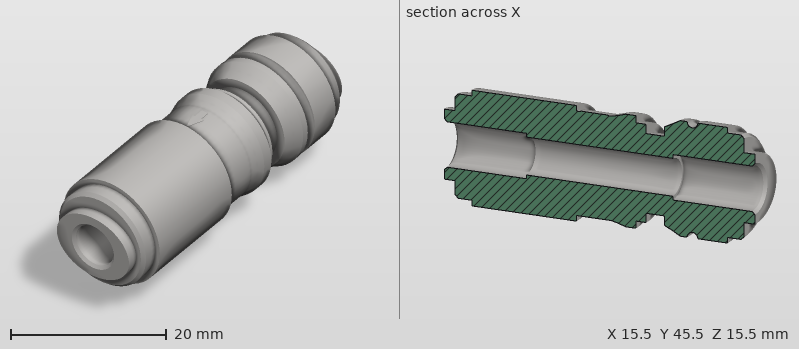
import cadquery as cq

LENGTH = 45.45

BODY_DIA = 15.5
CAP_DIA = 14.0
CAP_FACE_DIA = 13.1
SHOULDER_DIA = 13.17
NECK_DIA = 10.7
FLANGE_DIA = 15.1

COLLET_LENGTH = 1.55
COLLET_WIDTH = 11.6
COLLET_HEIGHT = 9.4

CAP_LENGTH = 2.45
CAP_CHAMFER_LENGTH = 0.5
SLEEVE_LENGTH = 4.4
GROOVE_RADIUS = (BODY_DIA - CAP_DIA) / 2
RIM_LENGTH = 1.0
RIM_CONE_LENGTH = 2.4
NECK_LENGTH = 2.6
SHOULDER_LENGTH = 1.5
FLANGE_LENGTH = 1.5
FLANGE_CONE_LENGTH = 2.1
ARROW_BAND_LENGTH = 5.1

THROUGH_DIA = 5.0
TUBE_DIA = 6.0
TUBE_DEPTH = 12.0
MOUTH_DIA = 6.8
MOUTH_CHAMFER = (MOUTH_DIA - TUBE_DIA) / 2

ARROW_SHAFT_WIDTH = 1.0
ARROW_HEAD_WIDTH = 1.8
ARROW_SHAFT_LENGTH = 1.5
ARROW_HEAD_LENGTH = 2.5
ARROW_RELIEF = 0.08
ARROW_ROOT = 0.2

CAP_START = COLLET_LENGTH
SLEEVE_START = CAP_START + CAP_LENGTH
GROOVE_START = SLEEVE_START + SLEEVE_LENGTH
RIM_START = GROOVE_START + 2 * GROOVE_RADIUS
RIM_CONE_START = RIM_START + RIM_LENGTH
NECK_START = RIM_CONE_START + RIM_CONE_LENGTH
SHOULDER_START = NECK_START + NECK_LENGTH
FLANGE_START = SHOULDER_START + SHOULDER_LENGTH
FLANGE_CONE_START = FLANGE_START + FLANGE_LENGTH
BAND_START = FLANGE_CONE_START + FLANGE_CONE_LENGTH
BARREL_START = BAND_START + ARROW_BAND_LENGTH
BODY_END = LENGTH - COLLET_LENGTH
BARREL_END = BODY_END - CAP_LENGTH


def y_at(station):
    """Y coordinate of a distance from the +Y end."""
    return LENGTH / 2 - station


def at(diameter, station):
    """Profile point on the given diameter."""
    return (diameter / 2, y_at(station))


def make_body():
    """Turned outside between the two collets."""
    groove_bottom = at(BODY_DIA - 2 * GROOVE_RADIUS, GROOVE_START + GROOVE_RADIUS)
    return (
        cq.Workplane("XY")
        .moveTo(*at(0, CAP_START))
        .lineTo(*at(CAP_FACE_DIA, CAP_START))
        .lineTo(*at(CAP_DIA, CAP_START + CAP_CHAMFER_LENGTH))
        .lineTo(*at(CAP_DIA, SLEEVE_START))
        .lineTo(*at(BODY_DIA, SLEEVE_START))
        .lineTo(*at(BODY_DIA, GROOVE_START))
        .threePointArc(groove_bottom, at(BODY_DIA, RIM_START))
        .lineTo(*at(BODY_DIA, RIM_CONE_START))
        .lineTo(*at(SHOULDER_DIA, NECK_START))
        .lineTo(*at(NECK_DIA, NECK_START))
        .lineTo(*at(NECK_DIA, SHOULDER_START))
        .lineTo(*at(SHOULDER_DIA, SHOULDER_START))
        .lineTo(*at(SHOULDER_DIA, FLANGE_START))
        .lineTo(*at(FLANGE_DIA, FLANGE_START))
        .lineTo(*at(FLANGE_DIA, FLANGE_CONE_START))
        .lineTo(*at(CAP_DIA, BAND_START))
        .lineTo(*at(CAP_DIA, BARREL_START))
        .lineTo(*at(BODY_DIA, BARREL_START))
        .lineTo(*at(BODY_DIA, BARREL_END))
        .lineTo(*at(CAP_DIA, BARREL_END))
        .lineTo(*at(CAP_DIA, BODY_END - CAP_CHAMFER_LENGTH))
        .lineTo(*at(CAP_FACE_DIA, BODY_END))
        .lineTo(*at(0, BODY_END))
        .close()
        .revolve(360, (0, 0, 0), (0, 1, 0))
    )


def make_collets():
    """Oval collet ends that stand out of both faces of the body."""
    collets = cq.Workplane("XY")
    for collet_start in (0, BODY_END):
        collet = (
            cq.Workplane("XZ", origin=(0, y_at(collet_start), 0))
            .ellipse(COLLET_WIDTH / 2, COLLET_HEIGHT / 2)
            .extrude(COLLET_LENGTH)
        )
        collets = collets.add(collet)
    return collets.combine()


def make_bore():
    """Through bore with a tube socket and a chamfered mouth at each end."""
    tube_end = LENGTH - TUBE_DEPTH
    return (
        cq.Workplane("XY")
        .moveTo(*at(0, 0))
        .lineTo(*at(MOUTH_DIA, 0))
        .lineTo(*at(TUBE_DIA, MOUTH_CHAMFER))
        .lineTo(*at(TUBE_DIA, TUBE_DEPTH))
        .lineTo(*at(THROUGH_DIA, TUBE_DEPTH))
        .lineTo(*at(THROUGH_DIA, tube_end))
        .lineTo(*at(TUBE_DIA, tube_end))
        .lineTo(*at(TUBE_DIA, LENGTH - MOUTH_CHAMFER))
        .lineTo(*at(MOUTH_DIA, LENGTH))
        .lineTo(*at(0, LENGTH))
        .close()
        .revolve(360, (0, 0, 0), (0, 1, 0))
    )


def make_arrow():
    """Thin arrow that follows the round band, with a root sunk into it."""
    arrow_length = ARROW_SHAFT_LENGTH + ARROW_HEAD_LENGTH
    tail_y = y_at(BAND_START + (ARROW_BAND_LENGTH - arrow_length) / 2)
    head_y = tail_y - ARROW_SHAFT_LENGTH
    tip_y = head_y - ARROW_HEAD_LENGTH
    prism = (
        cq.Workplane("XY")
        .polyline([
            (-ARROW_SHAFT_WIDTH / 2, tail_y),
            (ARROW_SHAFT_WIDTH / 2, tail_y),
            (ARROW_SHAFT_WIDTH / 2, head_y),
            (ARROW_HEAD_WIDTH / 2, head_y),
            (0, tip_y),
            (-ARROW_HEAD_WIDTH / 2, head_y),
            (-ARROW_SHAFT_WIDTH / 2, head_y),
        ])
        .close()
        .extrude(CAP_DIA)
    )
    shell = (
        cq.Workplane("XZ", origin=(0, y_at(BAND_START), 0))
        .circle(CAP_DIA / 2 + ARROW_RELIEF)
        .circle(CAP_DIA / 2 - ARROW_ROOT)
        .extrude(ARROW_BAND_LENGTH)
    )
    return prism.intersect(shell)


result = make_body().union(make_collets()).cut(make_bore()).union(make_arrow())